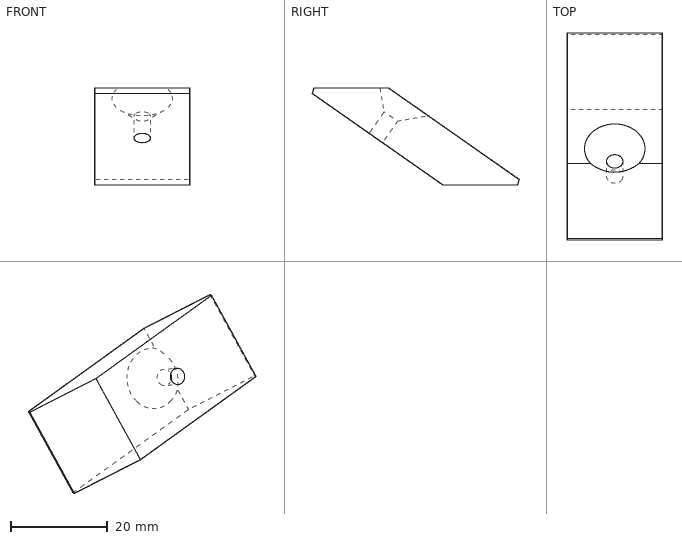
import cadquery as cq
import math

width = 19.7
length = 42.8
height = 20.1

slope_angle = 35.0
tip_height = 1.15
tip_setback = 0.35

hole_diameter = 3.4
sink_diameter = 12.5
sink_angle = 90.0
hole_exit_height = 9.7

slope = math.radians(slope_angle)
slope_run = (height - tip_height) / math.tan(slope)
ridge_y = length - slope_run

profile = [
    (slope_run, 0),
    (length - tip_setback, 0),
    (length, tip_height),
    (ridge_y, height),
    (tip_setback, height),
    (0, height - tip_height),
]
block = cq.Workplane("YZ").polyline(profile).close().extrude(width / 2, both=True)

upper_face_foot_y = length + tip_height / math.tan(slope)
thickness = (upper_face_foot_y - slope_run) * math.sin(slope)
hole_exit_y = slope_run - hole_exit_height / math.tan(slope)
hole_plane = cq.Plane(
    origin=(0, hole_exit_y, hole_exit_height),
    xDir=(1, 0, 0),
    normal=(0, math.sin(slope), math.cos(slope)),
)

hole_radius = hole_diameter / 2
sink_radius = sink_diameter / 2
sink_depth = (sink_radius - hole_radius) / math.tan(math.radians(sink_angle / 2))
overcut = 0.43

bore = (
    cq.Workplane(hole_plane)
    .workplane(offset=-overcut)
    .circle(hole_radius)
    .extrude(thickness + overcut)
)
countersink = cq.Workplane(cq.Solid.makeCone(
    hole_radius,
    sink_radius,
    sink_depth,
    pnt=hole_plane.toWorldCoords((0, 0, thickness - sink_depth)),
    dir=hole_plane.zDir,
))

result = block.cut(bore).cut(countersink)